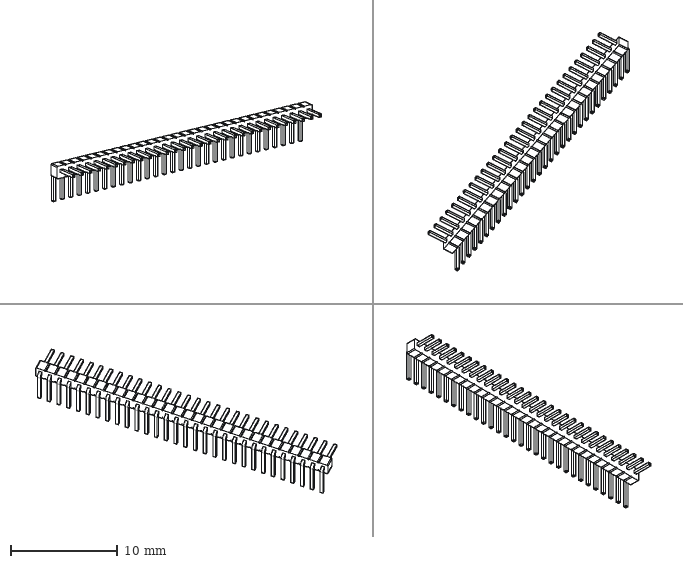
import cadquery as cq

pin_count = 30
header_length = 30.0
overall_width = 3.4
overall_height = 3.93
pitch = header_length / pin_count

body_width = pitch
body_height = 1.25
notch_depth = 0.1

pin_thickness = 0.3
bend_inner_radius = 0.15
tip_length = 0.075
tip_inset = tip_length
pin_drop = 0.35
leg_gap = 0.1

pin_left = -overall_width / 2
pin_right = overall_width / 2
body_top = overall_height / 2
body_bottom = body_top - body_height
pin_bottom = -overall_height / 2
leg_inner = pin_left + pin_thickness
body_left = leg_inner + leg_gap
pin_top = body_top - pin_drop
pin_underside = pin_top - pin_thickness
bend_outer_radius = bend_inner_radius + pin_thickness


def make_cell():
    """One body block, bevelled along its four X edges."""
    return (
        cq.Workplane("XY")
        .box(body_width, pitch, body_height, centered=(False, True, False))
        .edges("|X")
        .chamfer(notch_depth)
        .translate((body_left, 0, body_bottom))
    )


def make_tip(plane):
    """Tapered square pin end growing from the given plane."""
    end_side = pin_thickness - 2 * tip_inset
    return (
        cq.Workplane(plane)
        .rect(pin_thickness, pin_thickness)
        .workplane(offset=tip_length)
        .rect(end_side, end_side)
        .loft(ruled=True)
    )


def make_pin():
    """L-shaped pin: a vertical leg, a round bend and a horizontal leg."""
    leg_end = pin_bottom + tip_length
    contact_end = pin_right - tip_length
    bend_x = pin_left + bend_outer_radius
    bend_z = pin_top - bend_outer_radius
    shank = (
        cq.Workplane("XZ")
        .moveTo(pin_left, leg_end)
        .lineTo(pin_left, bend_z)
        .radiusArc((bend_x, pin_top), bend_outer_radius)
        .lineTo(contact_end, pin_top)
        .lineTo(contact_end, pin_underside)
        .lineTo(bend_x, pin_underside)
        .radiusArc((leg_inner, bend_z), -bend_inner_radius)
        .lineTo(leg_inner, leg_end)
        .close()
        .extrude(pin_thickness / 2, both=True)
    )
    leg_centre = (pin_left + pin_thickness / 2, 0, leg_end)
    contact_centre = (contact_end, 0, pin_top - pin_thickness / 2)
    leg_tip = make_tip(cq.Plane(leg_centre, xDir=(0, 1, 0), normal=(0, 0, -1)))
    contact_tip = make_tip(cq.Plane(contact_centre, xDir=(0, 1, 0), normal=(1, 0, 0)))
    return shank.union(leg_tip).union(contact_tip)


unit = make_cell().union(make_pin())
first_y = -(header_length - pitch) / 2
units = [unit.val().translate(cq.Vector(0, first_y + i * pitch, 0)) for i in range(pin_count)]
result = cq.Workplane(units[0].fuse(*units[1:]).clean())